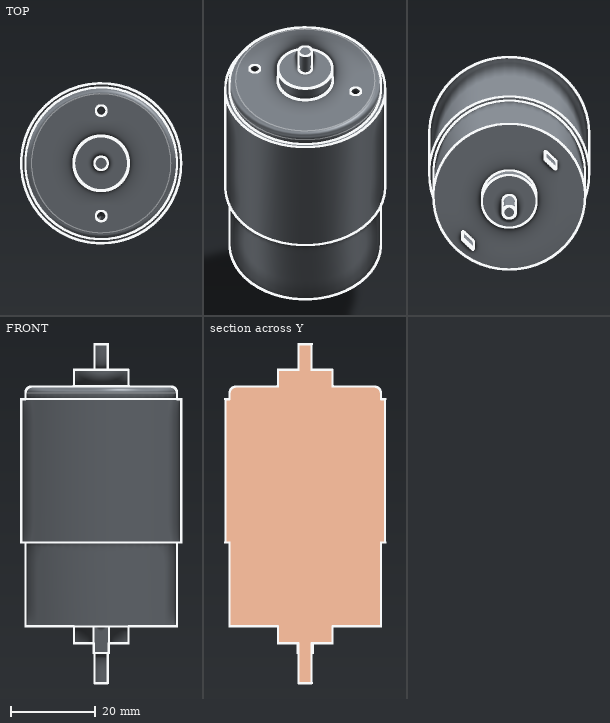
import cadquery as cq
import math


can_diameter = 36.0
can_height = 56.9
can_edge_radius = 1.5

sleeve_diameter = 38.0
sleeve_bottom = 19.9
sleeve_height = 34.0

boss_diameter = 13.0
boss_height = 4.0
boss_chamfer = 0.1

foot_diameter = 13.2
foot_height = 0.1

shaft_diameter = 3.175
shaft_bottom = -13.5
shaft_length = 80.42
shaft_chamfer = 0.15

hole_diameter = 2.5
hole_spacing = 25.0
hole_depth = 3.0
drill_tip_angle = 118.0

terminal_width = 3.6
terminal_thickness = 0.4
terminal_length = 6.3
terminal_spacing = 27.8


def cylinder(diameter, bottom, height):
    """Upright cylinder on the motor axis."""
    return cq.Workplane("XY").workplane(offset=bottom).circle(diameter / 2).extrude(height)


def make_can():
    """Can with a rounded upper rim and the sleeve around it."""
    can = cylinder(can_diameter, 0, can_height).faces(">Z").edges().fillet(can_edge_radius)
    return can.union(cylinder(sleeve_diameter, sleeve_bottom, sleeve_height))


def make_upper_boss():
    """Boss with a chamfered rim and a thin foot."""
    boss = cylinder(boss_diameter, can_height, boss_height).faces(">Z").chamfer(boss_chamfer)
    return boss.union(cylinder(foot_diameter, can_height, foot_height))


def make_lower_boss():
    """Plain boss below the lower end face."""
    return cylinder(boss_diameter, -boss_height, boss_height)


def make_shaft():
    """Through shaft, chamfered at its lower end."""
    return cylinder(shaft_diameter, shaft_bottom, shaft_length).faces("<Z").chamfer(shaft_chamfer)


def make_terminal(y):
    """Flat blade hanging from the lower end face."""
    blade = cq.Workplane("XY").center(0, y).rect(terminal_width, terminal_thickness)
    return blade.extrude(-terminal_length)


def make_flat_hole(y):
    """Flat-bottomed hole, as a cutter going down from the upper end face."""
    mouth = cq.Workplane("XY").workplane(offset=can_height).center(0, y)
    return mouth.circle(hole_diameter / 2).extrude(-hole_depth)


def make_drilled_hole(y):
    """Hole with a conical drill-point bottom, as a cutter from the upper end face."""
    radius = hole_diameter / 2
    tip_length = radius / math.tan(math.radians(drill_tip_angle / 2))
    profile = (
        cq.Workplane("XZ")
        .lineTo(radius, 0)
        .lineTo(radius, -hole_depth)
        .lineTo(0, -hole_depth - tip_length)
        .close()
    )
    return profile.revolve(360, (0, 0, 0), (0, 1, 0)).translate((0, y, can_height))


result = make_can()
result = result.cut(make_drilled_hole(-hole_spacing / 2))
result = result.cut(make_flat_hole(hole_spacing / 2))
result = result.union(make_upper_boss()).union(make_lower_boss())
result = result.union(make_shaft())
for side in (-1, 1):
    result = result.union(make_terminal(side * terminal_spacing / 2))